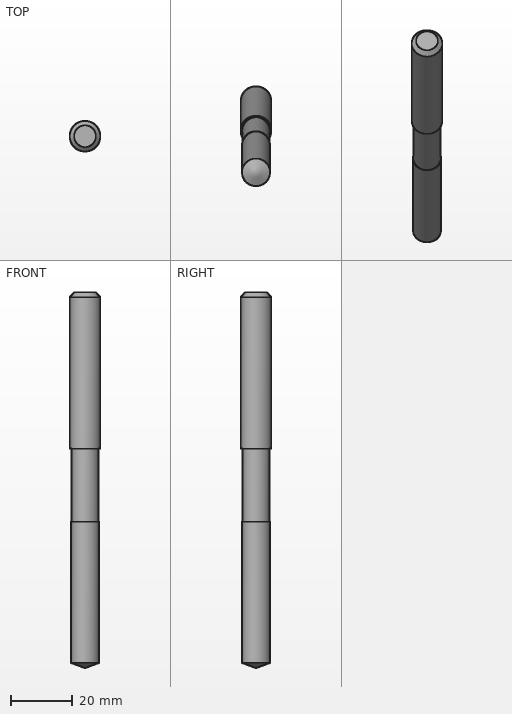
import cadquery as cq

total_length = 122.7
shank_diameter = 10.0
shank_length = 51.0
shank_chamfer_height = 1.6
shank_end_diameter = 7.1
neck_diameter = 9.0
cutter_diameter = 9.2
cutter_length = 47.7
point_height = 1.7

tip_z = -total_length / 2
top_z = total_length / 2
point_top_z = tip_z + point_height
cutter_top_z = tip_z + cutter_length
shank_bottom_z = top_z - shank_length
chamfer_bottom_z = top_z - shank_chamfer_height


def revolve_profile(points):
    """Revolve a closed (radius, height) outline around the Z axis."""
    return cq.Workplane("YZ").polyline(points).close().revolve(360, (0, 0), (0, 1))


def make_shank():
    """Chamfered shank with the slimmer neck below it."""
    neck_radius = neck_diameter / 2
    shank_radius = shank_diameter / 2
    return revolve_profile([
        (0, cutter_top_z),
        (neck_radius, cutter_top_z),
        (neck_radius, shank_bottom_z),
        (shank_radius, shank_bottom_z),
        (shank_radius, chamfer_bottom_z),
        (shank_end_diameter / 2, top_z),
        (0, top_z),
    ])


def make_cutter():
    """Cylindrical cutting length ending in a conical point."""
    cutter_radius = cutter_diameter / 2
    return revolve_profile([
        (0, tip_z),
        (cutter_radius, point_top_z),
        (cutter_radius, cutter_top_z),
        (0, cutter_top_z),
    ])


shank = make_shank()
cutter = make_cutter()
result = cq.Compound.makeCompound([shank.val(), cutter.val()])